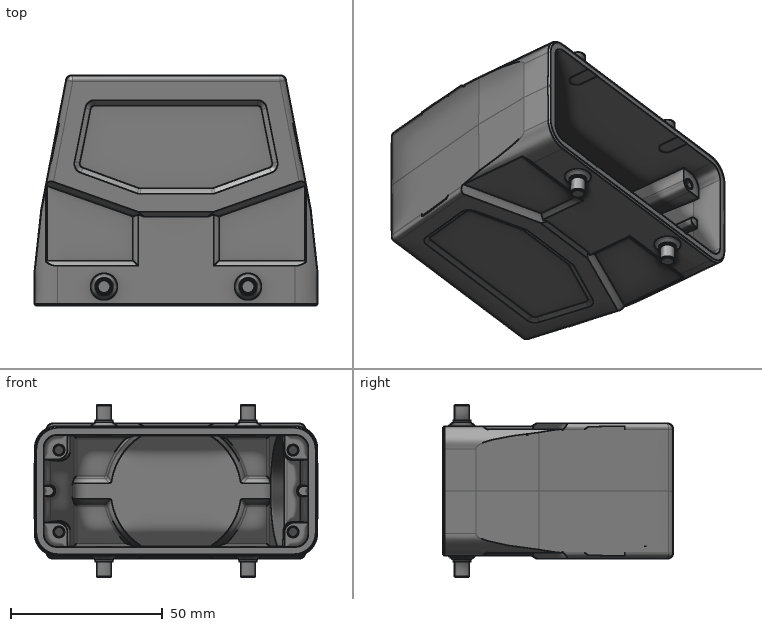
import cadquery as cq
import math

LENGTH = 76.0
MOUTH_HALF_X = 46.75
MOUTH_HALF_Z = 21.4
LOWER_LENGTH = 60.0
CORNER_R = 7.5
SHOULDER_Y = 10.8
KNEE_Y = 31.7
KNEE_HALF_X = 44.5
END_HALF_X = 36.0
RIM_CHAMFER = 0.6
SIDE_DRAFT = 0.5
SIDE_SLOPE = (KNEE_HALF_X - END_HALF_X) / (LENGTH - KNEE_Y)

UPPER_HALF_Z = 22.35
UPPER_EDGE_R = 2.0
STEP_Y = 31.0
STEP_HALF_X = 12.6
STEP_RUN = 1.6
V_ANGLE = 19.5
V_RUN = 2.0

POCKET_FLOOR_Z = 20.1
POCKET_INNER_X = 12.4
POCKET_OUTER_X = 44.3
POCKET_LOW_Y = 13.1
POCKET_TOP_Y = 49.6
POCKET_WALL_ANGLE = 54.0

LABEL_TOP_Y = 67.8
LABEL_TOP_HALF_X = 29.4
LABEL_SIDE_Y = 44.8
LABEL_SIDE_HALF_X = 34.0
LABEL_LOW_Y = 36.9
LABEL_LOW_HALF_X = 12.4
LABEL_DEPTH = 1.0
LABEL_WALL_RUN = 1.8
LABEL_CORNER_R = 3.2

PIN_X = 23.75
PIN_Y = 6.3
PIN_R = 2.45
PIN_TIP_Z = 28.5
PIN_TIP_CHAMFER = 0.4
COLLAR_BASE_R = 4.4
COLLAR_FOOT_R = 4.0
COLLAR_FOOT_HEIGHT = 0.35
COLLAR_R = 2.9
CONE_TOP_Z = 22.7
COLLAR_TOP_Z = 23.4
PIN_ROOT_DEPTH = 1.5
PIN_SEAT_END_Y = 9.2
PIN_SEAT_DEPTH = 0.1

WALL = 3.1
CAVITY_HALF_Z = 18.5
CAVITY_END_HALF_X = 33.5
CAVITY_END_HALF_Z = 18.2
END_WALL = 3.0
CAVITY_HALF_X = MOUTH_HALF_X - WALL
CAVITY_CORNER_R = CORNER_R - WALL
FLOOR_Y = LENGTH - END_WALL
FLOOR_FILLET = 1.0
BAR_END_FILLET = 0.9

PAD_HEIGHT = 3.0
PAD_TOP_R = 21.5
PAD_WALL_RUN = 1.9
BAR_TOP_HALF_Z = 2.6
PAD_JUNCTION_FILLET = 1.0

SHELF_Y = 34.0
SHELF_FILLET = 0.8
THICK_FACE_X = 35.7
THICK_END_X = 30.6
THICK_BEND_Y = FLOOR_Y - (THICK_FACE_X - THICK_END_X) / SIDE_SLOPE
BORE_R = 20.0
BORE_Y = FLOOR_Y - PAD_HEIGHT - BORE_R

BOSS_START_Y = 9.0
BOSS_INNER_X = 35.8
BOSS_INNER_Z = 10.5
BOSS_CORNER_R = 3.0
BOSS_DRAFT = 1.0
SCREW_X = 38.6
SCREW_Z = 13.5
SCREW_R = 1.6
SCREW_DEPTH = 15.0
SCREW_CHAMFER = 0.25
RIB_TIP_X = 40.3
RIB_WIDTH = 3.2
RIB_DRAFT = 1.0
RIB_START_Y = 9.5

SIDES = (-1, 1)
OVERSIZE = 5.0
FAR = 100.0


def both_z(shape):
    """The shape together with its mirror image in Z."""
    return shape.union(shape.mirror("XY"))


def both_x(shape):
    """The shape together with its mirror image in X."""
    return shape.union(shape.mirror("YZ"))


def plan_prism(points, half_z):
    """Prism of an XY outline, centred on Z = 0."""
    return cq.Workplane("XY").polyline(points).close().extrude(half_z, both=True)


def mirrored(right_points):
    """Closed outline from its +X points, listed from low Y to high Y."""
    return right_points + [(-x, y) for x, y in reversed(right_points)]


def drafted_sides(right_points):
    """Prism of an XY outline whose X sides lean in from Z = 0; its Y ends are left oversize."""
    outline = cq.Workplane("XY").polyline(mirrored(right_points)).close()
    return both_z(outline.extrude(UPPER_HALF_Z, taper=SIDE_DRAFT))


def lower_body():
    corner_x = MOUTH_HALF_X - MOUTH_HALF_Z * math.tan(math.radians(SIDE_DRAFT))
    outline = mirrored([
        (corner_x, -MOUTH_HALF_Z),
        (MOUTH_HALF_X, 0),
        (corner_x, MOUTH_HALF_Z),
    ])
    section = cq.Workplane("XZ").polyline(outline).close().extrude(-LOWER_LENGTH)
    section = section.faces("<Z or >Z").edges("|Y").fillet(CORNER_R)
    section = section.faces("<Y").chamfer(RIM_CHAMFER)
    sides = drafted_sides([
        (MOUTH_HALF_X, -OVERSIZE),
        (MOUTH_HALF_X, SHOULDER_Y),
        (KNEE_HALF_X, KNEE_Y),
        (END_HALF_X - SIDE_SLOPE * OVERSIZE, LENGTH + OVERSIZE),
    ])
    return section.intersect(sides)


def grip_pocket():
    """Tapered cutter; its walls pass through the named outline at the lower body face."""
    run = math.tan(math.radians(POCKET_WALL_ANGLE))
    depth = UPPER_HALF_Z - POCKET_FLOOR_Z
    extra = (UPPER_HALF_Z - MOUTH_HALF_Z) * run
    x_min = POCKET_INNER_X - extra
    x_max = POCKET_OUTER_X + extra
    y_min = POCKET_LOW_Y - extra
    return (
        cq.Workplane("XY", origin=(0, 0, UPPER_HALF_Z))
        .moveTo((x_min + x_max) / 2, (y_min + POCKET_TOP_Y) / 2)
        .rect(x_max - x_min, POCKET_TOP_Y - y_min)
        .extrude(-depth, taper=POCKET_WALL_ANGLE)
    )


def step_cutter(run, drop, angle, x_start):
    """Removes what lies below a step edge through (x_start, STEP_Y), leaving a leaning flank."""
    flank = [
        (-FAR, FAR),
        (0, FAR),
        (0, UPPER_HALF_Z),
        (-run, UPPER_HALF_Z - drop),
        (-run, 0),
        (-FAR, 0),
    ]
    cutter = cq.Workplane("YZ").polyline(flank).close().extrude(FAR, both=True)
    return cutter.rotate((0, 0, 0), (0, 0, 1), angle).translate((x_start, STEP_Y, 0))


def upper_body():
    start_y = STEP_Y - STEP_RUN - V_RUN
    sides = drafted_sides([
        (END_HALF_X + SIDE_SLOPE * (LENGTH - start_y + OVERSIZE), start_y - OVERSIZE),
        (END_HALF_X - SIDE_SLOPE * OVERSIZE, LENGTH + OVERSIZE),
    ])
    slab = cq.Workplane("XZ", origin=(0, start_y, 0)).rect(2 * FAR, 2 * UPPER_HALF_Z)
    slab = slab.extrude(start_y - LENGTH)
    block = sides.intersect(slab)
    block = block.faces(">Y or >Z or <Z").edges("not <Y").fillet(UPPER_EDGE_R)
    middle = step_cutter(STEP_RUN, UPPER_HALF_Z - MOUTH_HALF_Z, 0, 0)
    outer = step_cutter(V_RUN, UPPER_HALF_Z - POCKET_FLOOR_Z, V_ANGLE, STEP_HALF_X)
    return block.cut(both_z(middle)).cut(both_z(both_x(outer)))


def label_recess():
    outline = mirrored([
        (LABEL_LOW_HALF_X, LABEL_LOW_Y),
        (LABEL_SIDE_HALF_X, LABEL_SIDE_Y),
        (LABEL_TOP_HALF_X, LABEL_TOP_Y),
    ])
    taper = math.degrees(math.atan2(LABEL_WALL_RUN, LABEL_DEPTH))
    rounded = cq.Sketch().polygon(outline + outline[:1]).vertices().fillet(LABEL_CORNER_R)
    recess = cq.Workplane("XY", origin=(0, 0, UPPER_HALF_Z)).placeSketch(rounded)
    return recess.extrude(-LABEL_DEPTH, taper=taper)


def pin(x):
    profile = [
        (0, MOUTH_HALF_Z - PIN_ROOT_DEPTH),
        (COLLAR_BASE_R, MOUTH_HALF_Z - PIN_ROOT_DEPTH),
        (COLLAR_BASE_R, MOUTH_HALF_Z),
        (COLLAR_FOOT_R, MOUTH_HALF_Z + COLLAR_FOOT_HEIGHT),
        (COLLAR_R, CONE_TOP_Z),
        (COLLAR_R, COLLAR_TOP_Z),
        (PIN_R, COLLAR_TOP_Z),
        (PIN_R, PIN_TIP_Z - PIN_TIP_CHAMFER),
        (PIN_R - PIN_TIP_CHAMFER, PIN_TIP_Z),
        (0, PIN_TIP_Z),
    ]
    body = cq.Workplane("XZ").polyline(profile).close().revolve(360, (0, 0), (0, 1))
    return body.translate((x, PIN_Y, 0))


def pin_seat(x):
    """Shallow round-ended grooves in both inner walls, running from the mouth to the pins."""
    slot = cq.Workplane("XY").center(x, 0).slot2D(2 * PIN_SEAT_END_Y, 2 * PIN_R, 90)
    return slot.extrude(CAVITY_HALF_Z + PIN_SEAT_DEPTH, both=True)


def cavity_section():
    """Rounded opening run straight back to the cavity floor, narrowing slightly in Z."""
    draft = math.degrees(math.atan2(CAVITY_HALF_Z - CAVITY_END_HALF_Z, FLOOR_Y))
    opening = cq.Sketch().rect(2 * CAVITY_HALF_X, 2 * CAVITY_HALF_Z).vertices().fillet(CAVITY_CORNER_R)
    return cq.Workplane("XZ").placeSketch(opening).extrude(-FLOOR_Y, taper=draft)


def cavity():
    plan = mirrored([
        (CAVITY_HALF_X, 0),
        (CAVITY_HALF_X, SHOULDER_Y),
        (KNEE_HALF_X - WALL, KNEE_Y),
        (CAVITY_END_HALF_X, FLOOR_Y),
    ])
    return cavity_section().intersect(plan_prism(plan, CAVITY_HALF_Z))


def floor_pad():
    """Disc and crossing bar that stand on the cavity floor."""
    taper = math.degrees(math.atan2(PAD_WALL_RUN, PAD_HEIGHT))
    floor = cq.Workplane("XZ", origin=(0, FLOOR_Y, 0))
    disc = floor.circle(PAD_TOP_R + PAD_WALL_RUN).extrude(PAD_HEIGHT, taper=taper)
    bar = floor.rect(2 * MOUTH_HALF_X, 2 * (BAR_TOP_HALF_Z + PAD_WALL_RUN)).extrude(PAD_HEIGHT, taper=taper)
    pad = disc.union(bar)
    junction_y = FLOOR_Y - PAD_HEIGHT / 2
    junction_z = BAR_TOP_HALF_Z + PAD_WALL_RUN / 2
    for x_side in SIDES:
        for z_side in SIDES:
            corner = (x_side * PAD_TOP_R, junction_y, z_side * junction_z)
            pad = pad.edges(cq.selectors.NearestToPointSelector(corner)).fillet(PAD_JUNCTION_FILLET)
    return pad


def thick_wall():
    outline = [
        (MOUTH_HALF_X, SHELF_Y),
        (THICK_FACE_X, SHELF_Y),
        (THICK_FACE_X, THICK_BEND_Y),
        (THICK_END_X, FLOOR_Y),
        (MOUTH_HALF_X, FLOOR_Y),
    ]
    wall = plan_prism(outline, MOUTH_HALF_Z)
    return wall.faces("<Y").edges("<X").fillet(SHELF_FILLET)


def thick_wall_bore():
    """Blind round pocket that enters the thick wall along +X."""
    bore = cq.Workplane("YZ").center(BORE_Y, 0).circle(BORE_R).extrude(THICK_FACE_X)
    return bore.intersect(cavity_section())


def screw_boss():
    """Drafted corner boss; its outer part is buried in the walls."""
    length = FLOOR_Y - BOSS_START_Y
    width = 2 * (MOUTH_HALF_X - BOSS_INNER_X)
    height = 2 * (MOUTH_HALF_Z - BOSS_INNER_Z)
    outline = cq.Sketch().rect(width, height).vertices().fillet(BOSS_CORNER_R)
    start = cq.Workplane("XZ", origin=(MOUTH_HALF_X, BOSS_START_Y, MOUTH_HALF_Z))
    return start.placeSketch(outline).extrude(-length, taper=-BOSS_DRAFT)


def screw_hole():
    profile = [
        (0, 0),
        (SCREW_R + SCREW_CHAMFER, 0),
        (SCREW_R, SCREW_CHAMFER),
        (SCREW_R, SCREW_DEPTH),
        (0, SCREW_DEPTH),
    ]
    hole = cq.Workplane("XY").polyline(profile).close().revolve(360, (0, 0), (0, 1))
    return hole.translate((SCREW_X, BOSS_START_Y, SCREW_Z))


def side_rib():
    """Round-nosed rib that tapers toward the mouth; its outer half is buried in the side wall."""
    start = cq.Workplane("XZ", origin=(CAVITY_HALF_X, RIB_START_Y, 0))
    rib = start.slot2D(2 * (CAVITY_HALF_X - RIB_TIP_X), RIB_WIDTH)
    return rib.extrude(RIB_START_Y - FLOOR_Y, taper=-RIB_DRAFT)


shell = lower_body().cut(both_z(both_x(grip_pocket())))
shell = shell.union(upper_body())
shell = shell.cut(both_z(label_recess()))
for side in SIDES:
    shell = shell.union(both_z(pin(side * PIN_X)))

hollow = cavity()
hollow = hollow.cut(floor_pad())
hollow = hollow.cut(thick_wall())
hollow = hollow.cut(both_z(both_x(screw_boss())))
hollow = hollow.cut(both_x(side_rib()))
hollow = hollow.faces(">Y").edges().fillet(FLOOR_FILLET)
bar_end = (-CAVITY_END_HALF_X - SIDE_SLOPE * PAD_HEIGHT, FLOOR_Y - PAD_HEIGHT, 0)
hollow = hollow.edges("|Z").edges(cq.selectors.NearestToPointSelector(bar_end)).fillet(BAR_END_FILLET)
hollow = hollow.union(thick_wall_bore())
for side in SIDES:
    hollow = hollow.union(pin_seat(side * PIN_X))

result = shell.cut(hollow).cut(both_z(both_x(screw_hole())))